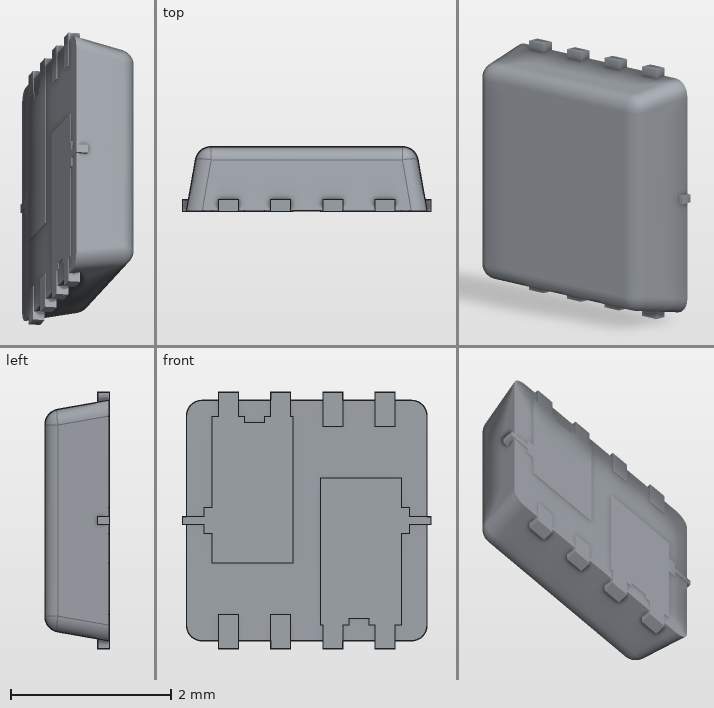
import cadquery as cq


housing_size = 3.0
housing_height = 0.8
standoff = 0.01
draft_angle = 10.0
edge_radius = 0.2

metal_thickness = 0.15
lead_pitch = 0.65
lead_width = 0.25
lead_length = 0.43
lead_span = 3.2
lead_tip = lead_span / 2
lead_columns = [(column - 1.5) * lead_pitch for column in range(4)]
pad_columns = lead_columns[:2]
single_columns = lead_columns[2:]

pad_left = -1.18
pad_right = -0.17
pad_top = 1.3
pad_bottom = -0.53
notch_width = 0.25
notch_depth = 0.08
notch_x = sum(pad_columns) / 2
shoulder_left = -1.28
shoulder_width = 0.32
tie_bar_span = 3.1
tie_bar_width = 0.1


def metal_block(left, right, bottom, top):
    """Flat piece of lead frame rising from the mounting plane."""
    block = cq.Workplane("XY").box(right - left, metal_thickness, top - bottom, centered=False)
    return block.translate((left, 0, bottom))


def half_turn(body):
    """Copy of a body turned 180 degrees about the package axis."""
    return body.rotate((0, 0, 0), (0, 1, 0), 180)


def make_lead(x, inner_end):
    """Straight lead centred on x, running from inner_end out to the lead tip."""
    return metal_block(x - lead_width / 2, x + lead_width / 2, inner_end, lead_tip)


def make_die_pad():
    """Notched die pad in one piece with its two leads and its stepped tie bar."""
    pad = metal_block(pad_left, pad_right, pad_bottom, pad_top)
    pad = pad.cut(
        metal_block(notch_x - notch_width / 2, notch_x + notch_width / 2, pad_top - notch_depth, pad_top)
    )
    for x in pad_columns:
        pad = pad.union(make_lead(x, pad_top))
    pad = pad.union(metal_block(shoulder_left, pad_left, -shoulder_width / 2, shoulder_width / 2))
    pad = pad.union(metal_block(-tie_bar_span / 2, shoulder_left, -tie_bar_width / 2, tie_bar_width / 2))
    return pad


def make_housing(inserts):
    """Drafted, rounded block with a matching recess for every metal insert."""
    base = cq.Plane(origin=(0, standoff, 0), xDir=(1, 0, 0), normal=(0, 1, 0))
    block = cq.Workplane(base).rect(housing_size, housing_size).extrude(housing_height, taper=draft_angle)
    block = block.edges("not <Y").fillet(edge_radius)
    for insert in inserts:
        block = block.cut(insert)
    return block


upper_pad = make_die_pad()
die_pads = [upper_pad, half_turn(upper_pad)]

leads = []
for column_x in single_columns:
    upper_lead = make_lead(column_x, lead_tip - lead_length)
    leads += [upper_lead, half_turn(upper_lead)]

housing = make_housing(die_pads + leads)

bodies = [housing] + die_pads + leads
result = cq.Compound.makeCompound([body.val() for body in bodies])